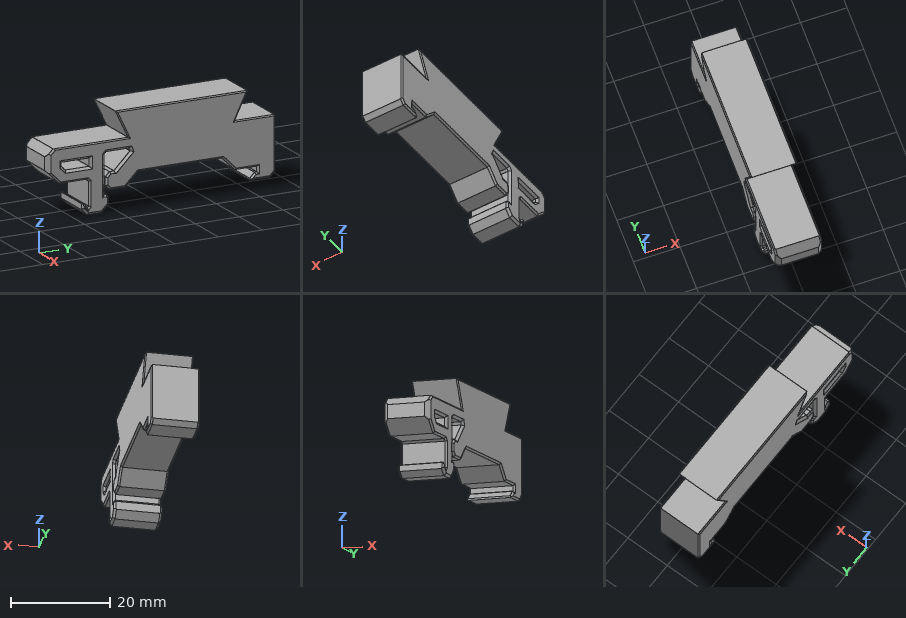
import cadquery as cq
import math


length = 52.0
width = 10.0
height = 21.1

no_bevel = 0
fine_bevel = 0.25
edge_bevel = 0.39
slot_bevel = 0.5
nose_bevel = 1.0

deck_z = 15.15
belly_z = 7.6
jaw_z = 4.7

dovetail_center_y = 30.8
dovetail_top_width = 30.1
dovetail_flank_angle = 26
dovetail_undercut = (height - deck_z) * math.tan(math.radians(dovetail_flank_angle))
dovetail_front_y = dovetail_center_y - dovetail_top_width / 2
dovetail_back_y = dovetail_center_y + dovetail_top_width / 2

nose_top_chamfer = 1.6
nose_bottom_chamfer = 3.0

window_front_y = 3.55
window_back_y = 9.9
window_bottom_z = 10.2
window_top_z = 11.95
window_corner = 0.95

leg_front_y = 9.7
leg_back_y = 13.25
leg_root_chamfer = 0.45

foot_back_y = 14.2
foot_top_z = 3.75
foot_ledge = 0.5
foot_step = 0.45
foot_back_chamfer = 1.45
foot_front_chamfer = 1.25

barb_front_y = 8.15
barb_top_z = 2.55
barb_top_width = 0.4
barb_root_y = 9.45
barb_root_z = 1.55
barb_root_slope = 0.25

slot_top_z = 12.75
slot_corner = 0.45
slot_back_y = 19.0
slot_tip_y = 19.25
slot_tip_z = 12.1

finger_front_y = 13.5
finger_top_z = 8.4
finger_chamfer = 0.95
finger_ledge = 1.1

belly_front_y = 20.9
belly_back_y = 40.1
belly_slope = belly_z - jaw_z

hook_bottom_z = 2.0
hook_corner = 1.0
hook_tip_y = 46.45
hook_tip_height = 0.35
hook_throat_y = 48.05
hook_throat_z = 3.5
hook_ledge = 0.5

grip_underside = [
    (0, deck_z - nose_top_chamfer, nose_bevel),
    (0, belly_z + nose_bottom_chamfer, edge_bevel),
    (nose_bottom_chamfer, belly_z, edge_bevel),
    (leg_front_y - leg_root_chamfer, belly_z, edge_bevel),
    (leg_front_y, belly_z - leg_root_chamfer, edge_bevel),
]
foot = [
    (leg_front_y, barb_root_z + barb_root_slope, edge_bevel),
    (barb_root_y, barb_root_z, edge_bevel),
    (barb_front_y + barb_top_width, barb_top_z, no_bevel),
    (barb_front_y, barb_top_z, edge_bevel),
    (barb_front_y, foot_front_chamfer, slot_bevel),
    (barb_front_y + foot_front_chamfer, 0, slot_bevel),
    (foot_back_y - foot_back_chamfer, 0, slot_bevel),
    (foot_back_y, foot_back_chamfer, edge_bevel),
    (foot_back_y, foot_top_z - foot_step, edge_bevel),
    (leg_back_y + foot_ledge, foot_top_z, edge_bevel),
]
spring_slot = [
    (leg_back_y, foot_top_z, slot_bevel),
    (leg_back_y, slot_top_z - slot_corner, slot_bevel),
    (leg_back_y + slot_corner, slot_top_z, slot_bevel),
    (slot_back_y, slot_top_z, slot_bevel),
    (slot_tip_y, slot_tip_z, slot_bevel),
]
finger = [
    (finger_front_y + finger_chamfer + finger_ledge, finger_top_z, edge_bevel),
    (finger_front_y + finger_chamfer, finger_top_z, edge_bevel),
    (finger_front_y, finger_top_z - finger_chamfer, edge_bevel),
    (finger_front_y, jaw_z + finger_chamfer, edge_bevel),
    (finger_front_y + finger_chamfer, jaw_z, edge_bevel),
]
belly = [
    (belly_front_y - belly_slope, jaw_z, edge_bevel),
    (belly_front_y, belly_z, edge_bevel),
    (belly_back_y, belly_z, edge_bevel),
    (belly_back_y + belly_slope, jaw_z, edge_bevel),
]
hook = [
    (hook_throat_y, jaw_z, edge_bevel),
    (hook_throat_y, hook_throat_z, edge_bevel),
    (hook_throat_y - hook_ledge, hook_throat_z, edge_bevel),
    (hook_tip_y, hook_bottom_z + hook_tip_height, no_bevel),
    (hook_tip_y, hook_bottom_z, edge_bevel),
    (length - hook_corner, hook_bottom_z, edge_bevel),
    (length, hook_bottom_z + hook_corner, fine_bevel),
]
deck_and_dovetail = [
    (length, deck_z, fine_bevel),
    (dovetail_back_y - dovetail_undercut, deck_z, fine_bevel),
    (dovetail_back_y, height, fine_bevel),
    (dovetail_front_y, height, fine_bevel),
    (dovetail_front_y + dovetail_undercut, deck_z, fine_bevel),
    (nose_top_chamfer, deck_z, edge_bevel),
]
body_outline = grip_underside + foot + spring_slot + finger + belly + hook + deck_and_dovetail

window_outline = [
    (window_front_y, window_bottom_z + window_corner, slot_bevel),
    (window_front_y, window_top_z, slot_bevel),
    (window_back_y, window_top_z, slot_bevel),
    (window_back_y, window_bottom_z, slot_bevel),
    (window_front_y + window_corner, window_bottom_z, slot_bevel),
]


def prism(outline):
    """Full-width prism over a closed profile in the YZ plane."""
    points = [(y, z) for y, z, _ in outline]
    return cq.Workplane("YZ").polyline(points).close().extrude(width / 2, both=True)


def heading(start, end):
    return math.atan2(end[1] - start[1], end[0] - start[0])


def turn(before, after):
    """Signed change of heading, positive at convex corners of the material."""
    return math.remainder(after - before, math.tau)


def bevel_wedge(before, start, end, after):
    """Wedge that bevels one edge on the +X side: mitred at inside corners, run out past outside ones."""
    size = start[2]
    direction = heading(start, end)
    along = cq.Vector(0, math.cos(direction), math.sin(direction))
    inward = cq.Vector(0, -math.sin(direction), math.cos(direction))

    def end_triangle(corner, outward, corner_turn):
        if corner_turn > 0:
            edge_shift, face_shift = size, size
        else:
            edge_shift, face_shift = 0, size * math.tan(-corner_turn / 2)
        on_face = cq.Vector(width / 2, corner[0], corner[1])
        outer = on_face + outward * edge_shift
        inner = on_face + inward * size + outward * face_shift
        deep = outer - cq.Vector(size, 0, 0)
        return cq.Wire.makePolygon([outer, inner, deep], close=True)

    start_triangle = end_triangle(start, -along, turn(heading(before, start), direction))
    stop_triangle = end_triangle(end, along, turn(direction, heading(end, after)))
    return cq.Solid.makeLoft([start_triangle, stop_triangle], True)


def bevel_wedges(outline):
    """Wedges for every bevelled edge of an outline, on both side faces."""
    count = len(outline)
    wedges = []
    for i in range(count):
        before, start, end, after = (outline[(i + step) % count] for step in (-1, 0, 1, 2))
        if start[2] != no_bevel:
            wedge = bevel_wedge(before, start, end, after)
            wedges += [wedge, wedge.mirror("YZ")]
    return wedges


result = prism(body_outline).cut(prism(window_outline))
for wedge in bevel_wedges(body_outline) + bevel_wedges(window_outline):
    result = result.cut(cq.Workplane(wedge))